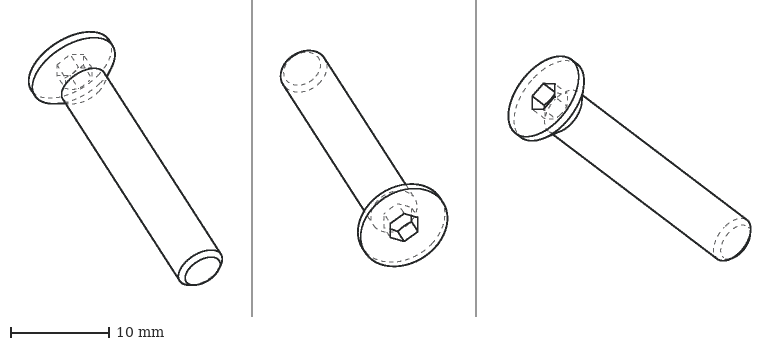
import cadquery as cq
import math

length = 30.0
head_diameter = 9.42
shank_diameter = 5.0
rim_thickness = 0.87
end_chamfer = 0.5

socket_sides = 6
socket_across_flats = 3.0
socket_wall_depth = 1.85
floor_half_angle = 60.0

head_radius = head_diameter / 2
shank_radius = shank_diameter / 2
head_height = rim_thickness + head_radius - shank_radius
socket_corner_radius = socket_across_flats / math.sqrt(3)
floor_depth = socket_corner_radius / math.tan(math.radians(floor_half_angle))


def make_body():
    """Revolve the half profile of head, shank and chamfered end about X."""
    return (
        cq.Workplane("XY")
        .moveTo(0, 0)
        .lineTo(0, head_radius)
        .lineTo(rim_thickness, head_radius)
        .lineTo(head_height, shank_radius)
        .lineTo(length - end_chamfer, shank_radius)
        .lineTo(length, shank_radius - end_chamfer)
        .lineTo(length, 0)
        .close()
        .revolve(360, (0, 0, 0), (1, 0, 0))
    )


def make_socket():
    """Hexagonal prism, two corners on the Z axis, trimmed by a drill-point cone."""
    full_depth = socket_wall_depth + floor_depth
    corners = [
        (
            socket_corner_radius * math.sin(2 * math.pi * i / socket_sides),
            socket_corner_radius * math.cos(2 * math.pi * i / socket_sides),
        )
        for i in range(socket_sides)
    ]
    prism = cq.Workplane("YZ").polyline(corners).close().extrude(full_depth)
    drill = (
        cq.Workplane("XY")
        .moveTo(0, 0)
        .lineTo(0, socket_corner_radius)
        .lineTo(socket_wall_depth, socket_corner_radius)
        .lineTo(full_depth, 0)
        .close()
        .revolve(360, (0, 0, 0), (1, 0, 0))
    )
    return prism.intersect(drill)


result = make_body().cut(make_socket())